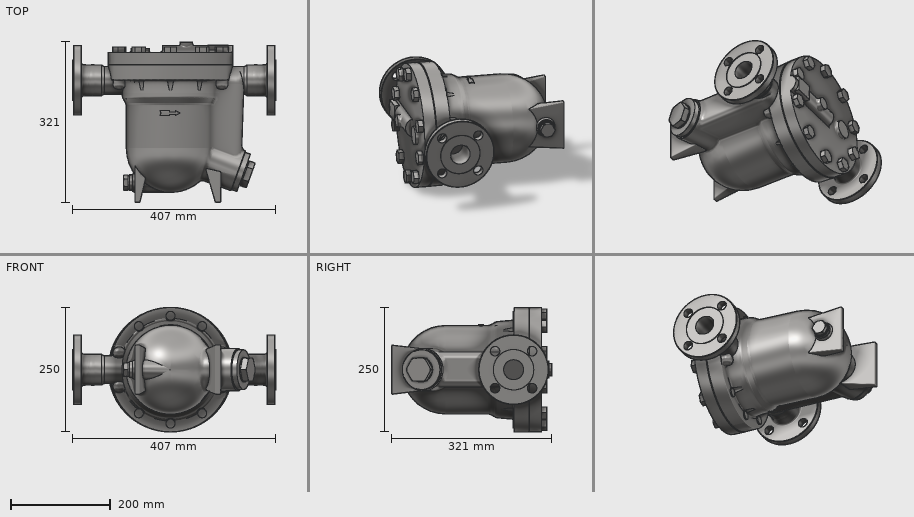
import math

import cadquery as cq

OVERLAP = 5.0
NEARLY_ROUND = 0.001
TOLERANCE = 0.01
SEARCH = 1.0

FLANGE_R = 125.0
COVER_TOP_Y = 56.3
COVER_BOTTOM_Y = 31.9
GASKET_R = FLANGE_R - 1.5
BODY_FLANGE_TOP_Y = 30.5
BODY_FLANGE_BOTTOM_Y = 0.9
BODY_FLANGE_NARROW_R = 121.5
FLANGE_EDGE_FILLET = 1.5
VESSEL_R = 89.0
DOME_CENTER_Y = -135.6
NECK_ROOT_R = 103.0
NECK_ROOT_MID = (100.4, -0.6)
NECK_TOP_R = 99.3
NECK_TOP_Y = -3.8
NECK_BOTTOM_R = 97.2
NECK_BOTTOM_Y = -25.4
SHOULDER_ROUND_START = (96.7, -32.4)
SHOULDER_ROUND_MID = (96.0, -35.2)
SHOULDER_TOP = (94.6, -37.6)
SHOULDER_BOTTOM = (90.3, -45.6)
SHOULDER_END_Y = -49.9

BOLT_COUNT = 10
BOLT_CIRCLE_R = 108.0
BOLT_D = 18.0
BOLT_END_Y = -1.6
BOLT_HEAD_FLATS = 24.0
BOLT_HEAD_H = 10.6
SPOTFACE_D = 21.0
SPOTFACE_DEPTH = 30.0
LUG_R = 12.5
LUG_BOTTOM_Y = -18.0
LUG_TIP_FILLET = 10.0
LUG_ROOT_FILLET = 3.4

RIDGE_R = 20.0
RIDGE_TOP_Y = 69.9
RIDGE_START_X = -16.0
RIDGE_FILLET = 5.0
NOZZLE_X = 32.0
NOZZLE_D = 25.0
NOZZLE_TOP_Y = 76.7
NOZZLE_FILLET = 4.0
NAMEPLATE_X = (75.5, 115.5)
NAMEPLATE_W = 34.0
NAMEPLATE_TOP_Y = 70.8
COVER_BOSS_X = -61.0
COVER_BOSS_R = 18.5
COVER_BOSS_TOP_Y = 64.2
COVER_BOSS_FILLET = 2.5

INLET_FACE_X = -196.0
OUTLET_FACE_X = 211.0
PIPE_R = 28.0
PIPE_END_X = 69.0
PIPE_FLANGE_R = 70.0
PIPE_FLANGE_T = 17.8
RAISED_FACE_R = 40.5
RAISED_FACE_H = 1.5
PIPE_FLANGE_CHAMFER = 1.0
HUB_R = 31.0
HUB_ROOT_FILLET = 4.0
HUB_NECK_R = 31.5
HUB_NECK_END = 31.2
HUB_END = 57.7
HUB_CHAMFER_END = 60.5
HUB_CHAMFER_R = 29.0
HUB_TAPER_END = 63.5
BEAD_START = 36.4
BEAD_END = 44.3
BEAD_H = 0.5
BORE_D = 40.0
PIPE_HOLE_D = 19.0
PIPE_HOLE_CIRCLE_D = 105.0
PIPE_HOLE_COUNT = 4

DUCT_HALF_W = 35.0
DUCT_TOP_CENTER_Y = -8.0
DUCT_BOTTOM_Y = -158.0
DUCT_TOP_X = 147.5
DUCT_LEAN_DEG = 1.9
DUCT_FILLET = 15.0

BRANCH_TILT_DEG = 20.0
BRANCH_ORIGIN_Y = -132.0
BRANCH_R = 42.5
BRANCH_LENGTH = 144.0
CAP_R = 40.0
CAP_GAP = 0.8
CAP_GAP_R = 38.5
CAP_T = 11.2
CAP_COLLAR_D = 49.5
CAP_COLLAR_H = 2.5
CAP_HEX_FLATS = 46.0
CAP_HEX_H = 12.7
BRANCH_START = 40.0

DUCT_BRANCH_FILLET = 12.0
VESSEL_FILLET = 10.0
JOINT_TOP_Y = -9.0
JOINT_MIN_X = 60.0

DRAIN_Y = -205.0
DRAIN_BOSS_R = 19.6
DRAIN_BOSS_END_X = -1.0
DRAIN_FACE_X = -76.5
DRAIN_FACE_R = 17.0
DRAIN_WASHER_D = 32.0
DRAIN_WASHER_T = 5.3
DRAIN_SHANK_D = 28.0
DRAIN_SHANK_T = 3.0
DRAIN_HEX_FLATS = 27.0
DRAIN_HEX_H = 9.4
HEX_BEVEL = 1.5

FOOT_BOTTOM_Y = -244.3
FOOT_BOTTOM_HALF_Z = 49.5
FOOT_TOP_HALF_Z = 40.5
FOOT_TOP_Y = -170.0
FOOT_FILLET = 2.0
LEFT_FOOT_X = -71.3
LEFT_FOOT_TOE_X = -61.0
LEFT_FOOT_KNEE = (-50.3, -197.7)
LEFT_FOOT_TOP_Y = -160.0
RIGHT_FOOT_X = 100.7
RIGHT_FOOT_TOE_X = 89.6
RIGHT_FOOT_OUTER_TOP_Y = -183.0
RIGHT_FOOT_INNER_TOP = (70.0, -176.0)

ARROW_Y = -65.5
ARROW_TAIL_X = -21.5
ARROW_TIP_X = 19.3
ARROW_H = 1.2
ARROW_HALF_W = 5.0
ARROW_NECK_HALF_W = 2.4
ARROW_NECK_X = -2.2
ARROW_HEAD_X = 9.5
ARROW_NOTCH_X = -19.0


def cylinder(radius, start, direction, length):
    return cq.Workplane(cq.Solid.makeCylinder(radius, length, cq.Vector(*start), cq.Vector(*direction)))


def circles(part, radius):
    """Circular edges of the given radius."""
    return part.edges("%CIRCLE").filter(lambda e: abs(e.radius() - radius) < TOLERANCE)


def across_corners(across_flats):
    return across_flats / math.cos(math.pi / 6)


def hex_prism(across_flats, height, origin, axis, corner_direction):
    plane = cq.Plane(origin=origin, xDir=corner_direction, normal=axis)
    return cq.Workplane(plane).polygon(6, across_corners(across_flats)).extrude(height)


def beveled_hex(across_flats, height, origin, axis, corner_direction):
    """Hexagon head whose outer corners are turned down to a cone."""
    head = hex_prism(across_flats, height, origin, axis, corner_direction)
    plane = cq.Plane(origin=origin, xDir=corner_direction, normal=axis)
    turned = cq.Workplane(plane).circle(across_corners(across_flats) / 2).extrude(height)
    end_face = cq.selectors.DirectionMinMaxSelector(cq.Vector(*axis))
    return head.intersect(turned.faces(end_face).chamfer(HEX_BEVEL))


def bolt_positions():
    """Angle from +X and (x, z) of every cover bolt."""
    for i in range(BOLT_COUNT):
        angle = math.pi / 2 + i * 2 * math.pi / BOLT_COUNT
        yield angle, BOLT_CIRCLE_R * math.cos(angle), BOLT_CIRCLE_R * math.sin(angle)


def is_side_bolt(x):
    return abs(x) > BOLT_CIRCLE_R * math.cos(math.pi / BOLT_COUNT) - SEARCH


def make_vessel():
    dome_mid = VESSEL_R * math.sqrt(0.5)
    profile = (
        cq.Workplane("XY")
        .moveTo(0, BODY_FLANGE_BOTTOM_Y + OVERLAP)
        .lineTo(NECK_ROOT_R, BODY_FLANGE_BOTTOM_Y + OVERLAP)
        .lineTo(NECK_ROOT_R, BODY_FLANGE_BOTTOM_Y)
        .threePointArc(NECK_ROOT_MID, (NECK_TOP_R, NECK_TOP_Y))
        .lineTo(NECK_BOTTOM_R, NECK_BOTTOM_Y)
        .lineTo(*SHOULDER_ROUND_START)
        .threePointArc(SHOULDER_ROUND_MID, SHOULDER_TOP)
        .lineTo(*SHOULDER_BOTTOM)
        .lineTo(VESSEL_R, SHOULDER_END_Y)
        .lineTo(VESSEL_R, DOME_CENTER_Y)
        .threePointArc((dome_mid, DOME_CENTER_Y - dome_mid), (0, DOME_CENTER_Y - VESSEL_R))
        .close()
    )
    return profile.revolve(360, (0, 0, 0), (0, 1, 0))


def make_body_flange():
    """Round at the gasket, drawn in along X towards the neck."""
    height = BODY_FLANGE_TOP_Y - BODY_FLANGE_BOTTOM_Y
    return (
        cq.Workplane("XZ", origin=(0, BODY_FLANGE_TOP_Y, 0))
        .ellipse(FLANGE_R, FLANGE_R - NEARLY_ROUND)
        .workplane(offset=height)
        .ellipse(BODY_FLANGE_NARROW_R, FLANGE_R)
        .loft(ruled=True)
        .faces("<Y")
        .edges()
        .fillet(FLANGE_EDGE_FILLET)
        .rotate((0, 0, 0), (0, 1, 0), 180)
    )


def make_cover():
    plate = cylinder(FLANGE_R, (0, COVER_BOTTOM_Y, 0), (0, 1, 0), COVER_TOP_Y - COVER_BOTTOM_Y)
    gasket = cylinder(GASKET_R, (0, BODY_FLANGE_TOP_Y, 0), (0, 1, 0), COVER_BOTTOM_Y - BODY_FLANGE_TOP_Y)
    ridge_axis_y = RIDGE_TOP_Y - RIDGE_R
    ridge = cylinder(RIDGE_R, (RIDGE_START_X, ridge_axis_y, 0), (1, 0, 0), FLANGE_R - RIDGE_START_X)
    ridge = ridge.intersect(cylinder(FLANGE_R, (0, COVER_BOTTOM_Y, 0), (0, 1, 0), 2 * RIDGE_R))
    nozzle = cylinder(NOZZLE_D / 2, (NOZZLE_X, ridge_axis_y, 0), (0, 1, 0), NOZZLE_TOP_Y - ridge_axis_y)
    ridge = ridge.union(nozzle)
    reach = NOZZLE_D / 2 + SEARCH
    near_nozzle = cq.selectors.BoxSelector(
        (NOZZLE_X - reach, RIDGE_TOP_Y - RIDGE_R / 2, -reach),
        (NOZZLE_X + reach, RIDGE_TOP_Y + SEARCH, reach),
    )
    ridge = ridge.edges(near_nozzle).fillet(NOZZLE_FILLET)
    boss_h = COVER_BOSS_TOP_Y - COVER_TOP_Y
    boss = cylinder(COVER_BOSS_R, (COVER_BOSS_X, COVER_TOP_Y, 0), (0, 1, 0), boss_h)
    cover = plate.union(ridge).union(boss)
    boss_root = circles(cover, COVER_BOSS_R).filter(lambda e: e.Center().y < COVER_TOP_Y + SEARCH)
    cover = boss_root.fillet(COVER_BOSS_FILLET)
    ridge_root = cover.edges("|Z").filter(lambda e: abs(e.Center().x - RIDGE_START_X) < SEARCH)
    cover = ridge_root.fillet(RIDGE_FILLET)
    plate_length = NAMEPLATE_X[1] - NAMEPLATE_X[0]
    plate_center_x = sum(NAMEPLATE_X) / 2
    plate_h = NAMEPLATE_TOP_Y - COVER_TOP_Y
    nameplate = cq.Workplane("XY").box(plate_length, plate_h, NAMEPLATE_W)
    nameplate = nameplate.translate((plate_center_x, COVER_TOP_Y + plate_h / 2, 0))
    return cover.union(gasket).union(nameplate)


def make_pipe(face_x, inward):
    """Flanged pipe from its face to the vessel; inward is +1 or -1 along X."""
    bead_mid = (BEAD_START + BEAD_END) / 2
    root_start = PIPE_FLANGE_T
    root_end = PIPE_FLANGE_T + HUB_ROOT_FILLET
    arc_offset = HUB_ROOT_FILLET * (1 - math.sqrt(0.5))
    pipe_end = abs(face_x) - PIPE_END_X

    def at(depth, radius):
        return face_x + inward * depth, radius

    profile = (
        cq.Workplane("XY")
        .moveTo(*at(0, 0))
        .lineTo(*at(0, RAISED_FACE_R))
        .lineTo(*at(RAISED_FACE_H, RAISED_FACE_R))
        .lineTo(*at(RAISED_FACE_H, PIPE_FLANGE_R - PIPE_FLANGE_CHAMFER))
        .lineTo(*at(RAISED_FACE_H + PIPE_FLANGE_CHAMFER, PIPE_FLANGE_R))
        .lineTo(*at(PIPE_FLANGE_T - PIPE_FLANGE_CHAMFER, PIPE_FLANGE_R))
        .lineTo(*at(PIPE_FLANGE_T, PIPE_FLANGE_R - PIPE_FLANGE_CHAMFER))
        .lineTo(*at(root_start, HUB_NECK_R + HUB_ROOT_FILLET))
        .threePointArc(at(root_start + arc_offset, HUB_NECK_R + arc_offset), at(root_end, HUB_NECK_R))
        .lineTo(*at(HUB_NECK_END, HUB_R))
        .lineTo(*at(BEAD_START, HUB_R))
        .threePointArc(at(bead_mid, HUB_R + BEAD_H), at(BEAD_END, HUB_R))
        .lineTo(*at(HUB_END, HUB_R))
        .lineTo(*at(HUB_CHAMFER_END, HUB_CHAMFER_R))
        .lineTo(*at(HUB_TAPER_END, PIPE_R))
        .lineTo(*at(pipe_end, PIPE_R))
        .lineTo(*at(pipe_end, 0))
        .close()
    )
    pipe = profile.revolve(360, (0, 0, 0), (1, 0, 0))
    for i in range(PIPE_HOLE_COUNT):
        angle = math.pi / 4 + i * 2 * math.pi / PIPE_HOLE_COUNT
        y = PIPE_HOLE_CIRCLE_D / 2 * math.cos(angle)
        z = PIPE_HOLE_CIRCLE_D / 2 * math.sin(angle)
        pipe = pipe.cut(cylinder(PIPE_HOLE_D / 2, (face_x, y, z), (inward, 0, 0), PIPE_FLANGE_T))
    return pipe


def make_bore(face_x, inward):
    return cylinder(BORE_D / 2, (face_x, 0, 0), (inward, 0, 0), HUB_TAPER_END)


def make_duct():
    """Upright duct with a half-round top and a leaning, rounded outer wall."""
    section = (
        cq.Workplane("YZ")
        .moveTo(DUCT_BOTTOM_Y, -DUCT_HALF_W)
        .lineTo(DUCT_TOP_CENTER_Y, -DUCT_HALF_W)
        .threePointArc((DUCT_TOP_CENTER_Y + DUCT_HALF_W, 0), (DUCT_TOP_CENTER_Y, DUCT_HALF_W))
        .lineTo(DUCT_BOTTOM_Y, DUCT_HALF_W)
        .close()
    )
    duct = section.extrude(DUCT_TOP_X + OVERLAP)
    lean = math.tan(math.radians(DUCT_LEAN_DEG))
    top_y = DUCT_TOP_CENTER_Y + DUCT_HALF_W
    side = (
        cq.Workplane("XY")
        .polyline([
            (0, DUCT_BOTTOM_Y),
            (DUCT_TOP_X + lean * DUCT_BOTTOM_Y, DUCT_BOTTOM_Y),
            (DUCT_TOP_X + lean * top_y, top_y),
            (0, top_y),
        ])
        .close()
        .extrude(DUCT_HALF_W, both=True)
    )
    duct = duct.intersect(side)
    rim = duct.faces(">X").edges().filter(lambda e: e.Center().y > DUCT_BOTTOM_Y + SEARCH)
    return rim.fillet(DUCT_FILLET)


def branch_axis():
    tilt = math.radians(BRANCH_TILT_DEG)
    return math.cos(tilt), -math.sin(tilt), 0.0


def branch_point(distance):
    axis = branch_axis()
    return axis[0] * distance, BRANCH_ORIGIN_Y + axis[1] * distance, 0.0


def make_branch():
    return cylinder(BRANCH_R, branch_point(BRANCH_START), branch_axis(), BRANCH_LENGTH - BRANCH_START)


def touches(part, edge):
    middle = edge.positionAt(0.5)
    return part.val().distance(cq.Vertex.makeVertex(*middle.toTuple())) < TOLERANCE


def fillet_joint(first, second, radius):
    """Union of two parts with the outer edges where they meet, below the lugs, filleted."""
    joint = first.union(second).edges().filter(
        lambda edge: edge.Center().x > JOINT_MIN_X and edge.Center().y < JOINT_TOP_Y
    )
    joint = joint.filter(lambda edge: touches(first, edge) and touches(second, edge))
    return joint.fillet(radius)


def make_side_casting():
    """Duct and branch blended into one piece."""
    return fillet_joint(make_duct(), make_branch(), DUCT_BRANCH_FILLET)


def make_branch_cap():
    axis = branch_axis()
    corner = (-axis[1], axis[0], 0)
    cap_start = BRANCH_LENGTH + CAP_GAP
    collar_start = cap_start + CAP_T
    hex_start = collar_start + CAP_COLLAR_H
    cap = cylinder(CAP_GAP_R, branch_point(BRANCH_LENGTH), axis, CAP_GAP)
    cap = cap.union(cylinder(CAP_R, branch_point(cap_start), axis, CAP_T))
    cap = cap.union(cylinder(CAP_COLLAR_D / 2, branch_point(collar_start), axis, CAP_COLLAR_H))
    return cap.union(beveled_hex(CAP_HEX_FLATS, CAP_HEX_H, branch_point(hex_start), axis, corner))


def make_drain():
    outward = (-1, 0, 0)
    boss = cylinder(DRAIN_BOSS_R, (DRAIN_BOSS_END_X, DRAIN_Y, 0), outward, DRAIN_BOSS_END_X - LEFT_FOOT_X)
    taper = cq.Workplane(cq.Solid.makeCone(
        DRAIN_BOSS_R, DRAIN_FACE_R, LEFT_FOOT_X - DRAIN_FACE_X,
        cq.Vector(LEFT_FOOT_X, DRAIN_Y, 0), cq.Vector(*outward),
    ))
    shank_x = DRAIN_FACE_X - DRAIN_WASHER_T
    hex_x = shank_x - DRAIN_SHANK_T
    washer = cylinder(DRAIN_WASHER_D / 2, (DRAIN_FACE_X, DRAIN_Y, 0), outward, DRAIN_WASHER_T)
    shank = cylinder(DRAIN_SHANK_D / 2, (shank_x, DRAIN_Y, 0), outward, DRAIN_SHANK_T)
    head = beveled_hex(DRAIN_HEX_FLATS, DRAIN_HEX_H, (hex_x, DRAIN_Y, 0), outward, (0, 1, 0))
    return boss.union(taper).union(washer).union(shank).union(head)


def make_foot(side_profile):
    """Foot of the given XY side profile, narrowing in Z towards the vessel."""
    slope = (FOOT_BOTTOM_HALF_Z - FOOT_TOP_HALF_Z) / (FOOT_TOP_Y - FOOT_BOTTOM_Y)
    top_y = max(y for _, y in side_profile)
    top_half_z = FOOT_BOTTOM_HALF_Z - slope * (top_y - FOOT_BOTTOM_Y)
    foot = cq.Workplane("XY").polyline(side_profile).close().extrude(FOOT_BOTTOM_HALF_Z, both=True)
    front = (
        cq.Workplane("YZ", origin=(-VESSEL_R, 0, 0))
        .polyline([
            (FOOT_BOTTOM_Y, -FOOT_BOTTOM_HALF_Z),
            (FOOT_BOTTOM_Y, FOOT_BOTTOM_HALF_Z),
            (top_y, top_half_z),
            (top_y, -top_half_z),
        ])
        .close()
        .extrude(3 * VESSEL_R)
    )
    return foot.intersect(front).edges().fillet(FOOT_FILLET)


def make_feet():
    left = make_foot([
        (LEFT_FOOT_X, FOOT_BOTTOM_Y),
        (LEFT_FOOT_TOE_X, FOOT_BOTTOM_Y),
        LEFT_FOOT_KNEE,
        (LEFT_FOOT_KNEE[0], LEFT_FOOT_TOP_Y),
        (LEFT_FOOT_X, LEFT_FOOT_TOP_Y),
    ])
    right = make_foot([
        (RIGHT_FOOT_TOE_X, FOOT_BOTTOM_Y),
        (RIGHT_FOOT_X, FOOT_BOTTOM_Y),
        (RIGHT_FOOT_X, RIGHT_FOOT_OUTER_TOP_Y),
        RIGHT_FOOT_INNER_TOP,
    ])
    return left.union(right)


def make_bolt(angle, x, z):
    radial = (math.cos(angle), 0, math.sin(angle))
    return hex_prism(BOLT_HEAD_FLATS, BOLT_HEAD_H, (x, COVER_TOP_Y, z), (0, 1, 0), radial)


def make_bolt_end(x, z):
    return cylinder(BOLT_D / 2, (x, BOLT_END_Y, z), (0, 1, 0), BODY_FLANGE_TOP_Y - BOLT_END_Y)


def make_spotface(x, z):
    return cylinder(SPOTFACE_D / 2, (x, BODY_FLANGE_BOTTOM_Y, z), (0, -1, 0), SPOTFACE_DEPTH)


def make_lug(x, z):
    """Blind bolt lug with a rounded tip and a flared root."""
    root_y = BODY_FLANGE_BOTTOM_Y
    tip_offset = LUG_TIP_FILLET * (1 - math.sqrt(0.5))
    root_offset = LUG_ROOT_FILLET * (1 - math.sqrt(0.5))
    profile = (
        cq.Workplane("XY")
        .moveTo(0, LUG_BOTTOM_Y)
        .lineTo(LUG_R - LUG_TIP_FILLET, LUG_BOTTOM_Y)
        .threePointArc(
            (LUG_R - tip_offset, LUG_BOTTOM_Y + tip_offset),
            (LUG_R, LUG_BOTTOM_Y + LUG_TIP_FILLET),
        )
        .lineTo(LUG_R, root_y - LUG_ROOT_FILLET)
        .threePointArc((LUG_R + root_offset, root_y - root_offset), (LUG_R + LUG_ROOT_FILLET, root_y))
        .lineTo(LUG_R + LUG_ROOT_FILLET, root_y + OVERLAP)
        .lineTo(0, root_y + OVERLAP)
        .close()
    )
    lug = profile.revolve(360, (0, 0, 0), (0, 1, 0)).translate((x, 0, z))
    return lug.intersect(cylinder(BODY_FLANGE_NARROW_R, (0, LUG_BOTTOM_Y, 0), (0, 1, 0), FLANGE_R))


def make_arrow():
    upper = [
        (ARROW_TAIL_X, ARROW_HALF_W),
        (ARROW_NECK_X, ARROW_HALF_W),
        (ARROW_NECK_X, ARROW_NECK_HALF_W),
        (ARROW_HEAD_X, ARROW_NECK_HALF_W),
        (ARROW_HEAD_X, ARROW_HALF_W),
    ]
    lower = [(x, -y) for x, y in reversed(upper)]
    outline = upper + [(ARROW_TIP_X, 0)] + lower + [(ARROW_NOTCH_X, 0)]
    arrow = cq.Workplane("XY", origin=(0, ARROW_Y, 0)).polyline(outline).close().extrude(2 * VESSEL_R)
    raised = cylinder(VESSEL_R + ARROW_H, (0, ARROW_Y - 2 * ARROW_HALF_W, 0), (0, 1, 0), 4 * ARROW_HALF_W)
    return arrow.intersect(raised)


def build():
    body = make_vessel()
    for _, x, z in bolt_positions():
        if not is_side_bolt(x):
            body = body.cut(make_spotface(x, z))
    body = fillet_joint(body, make_side_casting(), VESSEL_FILLET)
    body = body.union(make_body_flange())
    for _, x, z in bolt_positions():
        body = body.union(make_lug(x, z) if is_side_bolt(x) else make_bolt_end(x, z))
    body = body.union(make_cover())
    for angle, x, z in bolt_positions():
        body = body.union(make_bolt(angle, x, z))
    for face_x, inward in ((INLET_FACE_X, 1), (OUTLET_FACE_X, -1)):
        body = body.union(make_pipe(face_x, inward)).cut(make_bore(face_x, inward))
    body = body.union(make_branch_cap()).union(make_drain())
    return body.union(make_feet()).union(make_arrow())


result = build()